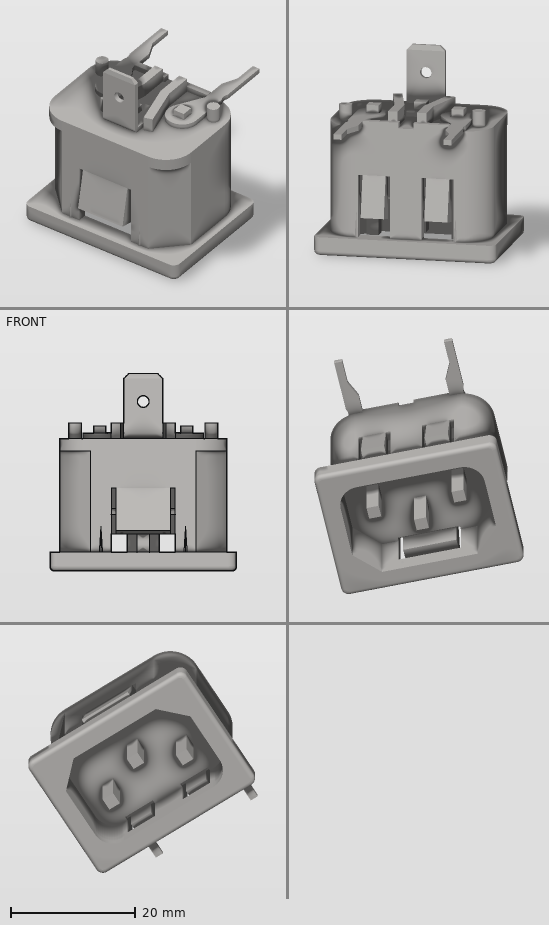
import cadquery as cq
import math


overall_y = 30.75

flange_x = 30.0
flange_y = 22.5
flange_z = 3.05
flange_corner_radius = 1.2
flange_edge_radius = 0.73

body_x = 26.9
body_y = 19.35
body_top = 21.3
corner_size = 4.95
lip_z = 2.0
wall = 1.6
cavity_top = 9.1

window_top = 13.33
front_window_half = 5.12
back_rib_half = 2.6
back_window_outer = 7.9
latch_gap = 0.73
latch_reach = 1.37
latch_tip_z = 6.52
latch_underside_drop = 0.6
relief_top = 10.02
relief_depth = 0.65

front_crush_rib_x = 6.8
back_crush_rib_x = 8.18
crush_rib_width = 0.5
crush_rib_reach = 0.25
crush_rib_top = 7.15

guide_z = 2.5
guide_width = 1.55
guide_outer_x = 3.18
guide_bend_y = 3.65
guide_splay = math.radians(15)
guide_splay_length = 7.67
fence_z = 0.95
fence_depth = 1.08
fence_inner_x = 1.25
post_radius = 1.05
post_x = 10.97
post_y = 4.93

pin_side = 2.0
pin_top = 23.35
pin_bottom = 1.9
line_pin_x = 7.0
line_pin_y = 1.9
earth_pin_y = -1.8

sheet = 0.85
sheet_top = body_top + sheet
line_hole_side = 2.23
earth_hole_x = 2.2

strip_pad_radius = 2.8
strip_pad_x = 6.9
strip_pad_y = 2.05
strip_neck_x = 7.15
strip_tip_inner_x = 8.4
strip_tip_y = overall_y - flange_y / 2
strip_shoulder_y = 15.35
strip_neck_y = 12.6
strip_flank = math.radians(30)
strip_notch_y = 9.9
strip_notch_half = 0.85
strip_notch_depth = 0.22

tab_half = 3.15
tab_front_y = -5.82
tab_top = 31.8
tab_tip_z = 0.85
tab_tip_bevel = 0.15
tab_fold_radius = 0.75
tab_hole_radius = 0.92
tab_hole_z = 27.25
plate_back_y = 0.95
plate_back_half = 2.1
plate_taper_y = -2.85
plate_corner_radius = 0.5

half_x = body_x / 2
half_y = body_y / 2
sides = (-1, 1)


def box(x_range, y_range, z_range):
    """Axis-aligned block between the given limits."""
    return (
        cq.Workplane("XY", origin=(0, 0, z_range[0]))
        .moveTo(x_range[0], y_range[0])
        .lineTo(x_range[1], y_range[0])
        .lineTo(x_range[1], y_range[1])
        .lineTo(x_range[0], y_range[1])
        .close()
        .extrude(z_range[1] - z_range[0])
    )


def mirrored_in_x(shape):
    return shape.mirror("YZ")


def body_outline(plane, x, front_y, back_y, chamfer, radius):
    """Outline with chamfered front corners and rounded back corners."""
    diagonal = radius * (1 - math.sqrt(0.5))
    return (
        plane.moveTo(-x + chamfer, front_y)
        .lineTo(x - chamfer, front_y)
        .lineTo(x, front_y + chamfer)
        .lineTo(x, back_y - radius)
        .threePointArc((x - diagonal, back_y - diagonal), (x - radius, back_y))
        .lineTo(-x + radius, back_y)
        .threePointArc((-x + diagonal, back_y - diagonal), (-x, back_y - radius))
        .lineTo(-x, front_y + chamfer)
        .close()
    )




def make_flange():
    flange = cq.Workplane("XY").rect(flange_x, flange_y).extrude(flange_z)
    flange = flange.edges("|Z").fillet(flange_corner_radius)
    return flange.faces("<Z").edges().fillet(flange_edge_radius)


def make_block():
    """Body block, with a top lip that is round at all four corners."""
    block = body_outline(
        cq.Workplane("XY", origin=(0, 0, flange_z)),
        half_x, -half_y, half_y, corner_size, corner_size,
    ).extrude(body_top - flange_z)
    lip = cq.Workplane("XY", origin=(0, 0, body_top - lip_z)).rect(body_x, body_y).extrude(lip_z)
    return block.union(lip.edges("|Z").fillet(corner_size))


def make_cavity():
    """Plug opening, following the body walls at one wall thickness."""
    inner_chamfer = corner_size - wall * (2 - math.sqrt(2))
    return body_outline(
        cq.Workplane("XY"),
        half_x - wall, -half_y + wall, half_y - wall, inner_chamfer, corner_size - wall,
    ).extrude(cavity_top)


def make_window(x_min, x_max):
    """Front opening through the wall, with a low relief behind it for the latch to flex into."""
    inner_y = -half_y + wall
    opening = box((x_min, x_max), (-half_y, inner_y), (flange_z, window_top))
    relief = box((x_min, x_max), (inner_y, inner_y + relief_depth), (flange_z, relief_top))
    return opening.union(relief)


def make_latch(x_min, x_max):
    """Front wedge hanging from the top of a window, its tip standing out from the wall."""
    inner_y = -half_y + wall
    return (
        cq.Workplane("YZ", origin=(x_min, 0, 0))
        .moveTo(inner_y, window_top)
        .lineTo(-half_y, window_top)
        .lineTo(-half_y - latch_reach, latch_tip_z)
        .lineTo(inner_y, latch_tip_z - latch_underside_drop)
        .close()
        .extrude(x_max - x_min)
    )


def make_crush_rib(x):
    """Slim pyramid on the front wall, running out to a point at its top."""
    left = (x - crush_rib_width / 2, -half_y, flange_z)
    right = (x + crush_rib_width / 2, -half_y, flange_z)
    ridge = (x, -half_y - crush_rib_reach, flange_z)
    apex = (x, -half_y, crush_rib_top)
    triangles = [(left, right, ridge), (left, ridge, apex), (ridge, right, apex), (right, left, apex)]
    faces = [
        cq.Face.makeFromWires(cq.Wire.makePolygon([cq.Vector(*p) for p in corners], close=True))
        for corners in triangles
    ]
    return cq.Workplane(cq.Solid.makeSolid(cq.Shell.makeShell(faces)))


def make_guide():
    """Wall beside the +X strip terminal, straight at the back and splayed out at the front."""
    along = (math.sin(guide_splay), -math.cos(guide_splay))
    inner_x = guide_outer_x - guide_width
    end_x = guide_outer_x + guide_splay_length * along[0]
    end_y = guide_bend_y + guide_splay_length * along[1]
    return (
        cq.Workplane("XY", origin=(0, 0, body_top))
        .moveTo(inner_x, half_y - fence_depth)
        .lineTo(guide_outer_x, half_y - fence_depth)
        .lineTo(guide_outer_x, guide_bend_y)
        .lineTo(end_x, end_y)
        .lineTo(end_x + guide_width * along[1], end_y - guide_width * along[0])
        .lineTo(inner_x, guide_bend_y - guide_width * math.tan(guide_splay / 2))
        .close()
        .extrude(guide_z)
    )


def make_fence():
    """Low bar along the back edge, ending against the +X strip terminal."""
    return box(
        (fence_inner_x, strip_neck_x),
        (half_y - fence_depth, half_y),
        (body_top, body_top + fence_z),
    )


def make_post(x):
    return (
        cq.Workplane("XY", origin=(x, post_y, body_top)).circle(post_radius).extrude(guide_z)
    )


def make_housing(pins):
    housing = make_flange().union(make_block()).cut(make_cavity())

    latch_half = front_window_half - latch_gap
    housing = housing.cut(make_window(-front_window_half, front_window_half))
    housing = housing.union(make_latch(-latch_half, latch_half))

    for side in sides:
        window = make_window(back_rib_half, back_window_outer).mirror("XZ")
        latch = make_latch(back_rib_half + latch_gap, back_window_outer - latch_gap).mirror("XZ")
        if side < 0:
            window = mirrored_in_x(window)
            latch = mirrored_in_x(latch)
        housing = housing.cut(window).union(latch)

    for side in sides:
        housing = housing.union(make_crush_rib(side * front_crush_rib_x))
        housing = housing.union(make_crush_rib(side * back_crush_rib_x).mirror("XZ"))
        housing = housing.union(make_post(side * post_x))
    for ridge in (make_guide(), make_fence()):
        housing = housing.union(ridge).union(mirrored_in_x(ridge))

    for pin in pins:
        housing = housing.cut(pin)
    return housing




def make_pin(x, y):
    return (
        cq.Workplane("XY", origin=(x, y, pin_bottom))
        .rect(pin_side, pin_side)
        .extrude(pin_top - pin_bottom)
    )




def make_strip_terminal(side):
    """Flat terminal with a round pad, tapering neck and narrow tip, on the +X (1) or -X (-1) side."""
    outer_x = strip_pad_x + strip_pad_radius
    flank_x = strip_pad_x - strip_pad_radius * math.cos(strip_flank)
    flank_y = strip_pad_y + strip_pad_radius * math.sin(strip_flank)
    flank_end_y = flank_y + (strip_neck_x - flank_x) / math.tan(strip_flank)
    strip = (
        cq.Workplane("XY", origin=(0, 0, body_top))
        .moveTo(outer_x, strip_pad_y)
        .lineTo(outer_x, strip_notch_y - strip_notch_half)
        .threePointArc(
            (outer_x - strip_notch_depth, strip_notch_y),
            (outer_x, strip_notch_y + strip_notch_half),
        )
        .lineTo(outer_x, strip_tip_y)
        .lineTo(strip_tip_inner_x, strip_tip_y)
        .lineTo(strip_tip_inner_x, strip_shoulder_y)
        .lineTo(strip_neck_x, strip_neck_y)
        .lineTo(strip_neck_x, flank_end_y)
        .lineTo(flank_x, flank_y)
        .threePointArc((strip_pad_x, strip_pad_y - strip_pad_radius), (outer_x, strip_pad_y))
        .close()
        .extrude(sheet)
    )
    hole_outer_x = line_pin_x + pin_side / 2
    hole_front_y = line_pin_y - pin_side / 2
    hole = box(
        (hole_outer_x - line_hole_side, hole_outer_x),
        (hole_front_y, hole_front_y + line_hole_side),
        (body_top, sheet_top),
    )
    strip = strip.cut(hole)
    return strip if side > 0 else mirrored_in_x(strip)


def make_earth_terminal():
    """Folded terminal: a tapered plate on the housing and an upright tab with a bevelled tip."""
    tab_back_y = tab_front_y + sheet
    bevel_z = tab_top - tab_tip_z
    tip_half = tab_half - tab_tip_z

    folded = (
        cq.Workplane("YZ", origin=(-tab_half, 0, 0))
        .moveTo(plate_back_y, body_top)
        .lineTo(tab_front_y, body_top)
        .lineTo(tab_front_y, bevel_z)
        .lineTo(tab_front_y + tab_tip_bevel, tab_top)
        .lineTo(tab_back_y - tab_tip_bevel, tab_top)
        .lineTo(tab_back_y, bevel_z)
        .lineTo(tab_back_y, sheet_top)
        .lineTo(plate_back_y, sheet_top)
        .close()
        .extrude(2 * tab_half)
    )
    folded = folded.edges("|X").edges("<Z").edges("<Y").fillet(tab_fold_radius)

    plan = (
        cq.Workplane("XY", origin=(0, 0, body_top))
        .moveTo(-tab_half, tab_front_y)
        .lineTo(tab_half, tab_front_y)
        .lineTo(tab_half, plate_taper_y)
        .lineTo(plate_back_half, plate_back_y)
        .lineTo(-plate_back_half, plate_back_y)
        .lineTo(-tab_half, plate_taper_y)
        .close()
        .extrude(tab_top - body_top)
    )
    plan = plan.faces(">Y").edges("|Z").fillet(plate_corner_radius)

    elevation = (
        cq.Workplane("XZ", origin=(0, plate_back_y, 0))
        .moveTo(-tab_half, body_top)
        .lineTo(tab_half, body_top)
        .lineTo(tab_half, bevel_z)
        .lineTo(tip_half, tab_top)
        .lineTo(-tip_half, tab_top)
        .lineTo(-tab_half, bevel_z)
        .close()
        .extrude(plate_back_y - tab_front_y)
    )

    tab_hole = (
        cq.Workplane("XZ", origin=(0, tab_back_y, tab_hole_z)).circle(tab_hole_radius).extrude(sheet)
    )
    hole_right_x = pin_side / 2
    pin_hole = box(
        (hole_right_x - earth_hole_x, hole_right_x),
        (earth_pin_y - pin_side / 2, earth_pin_y + pin_side / 2),
        (body_top, sheet_top),
    )
    return folded.intersect(plan).intersect(elevation).cut(tab_hole).cut(pin_hole)



earth_pin = make_pin(0, earth_pin_y)
line_pins = [make_pin(side * line_pin_x, line_pin_y) for side in sides]
housing = make_housing([earth_pin, *line_pins])
strip_terminals = [make_strip_terminal(side) for side in sides]
earth_terminal = make_earth_terminal()

bodies = [housing, earth_pin, *line_pins, *strip_terminals, earth_terminal]
result = cq.Compound.makeCompound([body.solids().val() for body in bodies])